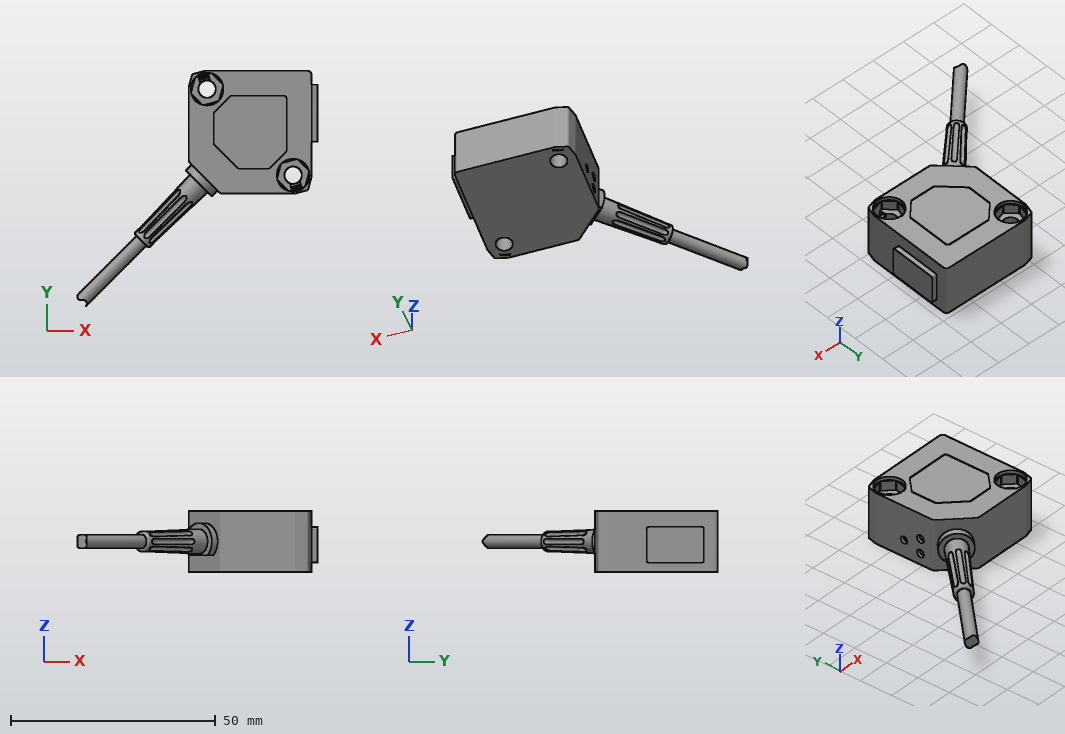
import cadquery as cq
import math

SIDE = 30.0
HEIGHT = 15.0
HALF = SIDE / 2
CABLE_CORNER_CUT = 7.8
CABLE_CORNER_ROUND = 1.0
SCREW_CORNER_RUN = 4.0
SCREW_CORNER_SLANT = 15.0
SCREW_CORNER_ROUND = 0.7
PLAIN_CORNER_ROUND = 1.0

RECESS_SIDE = 17.8
RECESS_DEPTH = 0.15
RECESS_CABLE_CUT = 6.0
RECESS_SCREW_CUT = 4.2
RECESS_ROUND = 0.7

SCREW_OFFSET = 10.5
SCREW_HOLE_DIA = 4.2
COUNTERBORE_DIA = 8.0
COUNTERBORE_DEPTH = 1.0
NUT_ACROSS_FLATS = 7.1
NUT_FLOOR_DEPTH = 3.8
NUT_ANGLE = 15.0

NOTCH_WIDTH = 2.5
NOTCH_ANGLE = 105.0
NOTCH_SLIT = 0.25
TONGUE_ROUND_END = 2.65
TONGUE_SLOPE_START = 2.85
TONGUE_CREST_DEPTH = 0.3
TONGUE_LOW_DEPTH = 1.0

INDICATORS = [(-3.1, 0.1, 2.2), (-3.1, -4.2, 2.2), (2.1, -2.5, 2.0)]
INDICATOR_DEPTH = 1.0

PAD_HEIGHT = 1.5
PAD_LENGTH = 14.0
PAD_WIDTH = 8.7
PAD_Y = 4.6
PAD_Z = -0.8
PAD_ROUND = 0.5

CABLE_ANGLE = 225.0
CABLE_DIA = 3.4
FLANGE_DIA = 9.0
FLANGE_THICKNESS = 2.0
FLANGE_FLAT_Z = -3.3
BOOT_LENGTH = 19.8
BOOT_START_DIA = 6.1
BOOT_END_DIA = 5.0
BOOT_END_ROUND = 0.4
GROOVE_COUNT = 8
GROOVE_RADIUS = 0.7
GROOVE_START = 5.9
GROOVE_END = 17.2
GROOVE_RUNOUT_RADIUS = 1.25
GROOVE_RUNOUT_ANGLE = 60.0
CABLE_END = 41.0
WAVE_HALF_STRAIGHT = 0.29

FLANGE_START = (SIDE - CABLE_CORNER_CUT) / math.sqrt(2)
BOOT_START = FLANGE_START + FLANGE_THICKNESS


def make_housing():
    slant = math.tan(math.radians(SCREW_CORNER_SLANT))
    inset = SCREW_CORNER_RUN * slant / (1 + slant)
    tip = HALF - inset
    run = HALF - SCREW_CORNER_RUN
    cut = HALF - CABLE_CORNER_CUT
    outline = [
        (-HALF, -cut), (-HALF, run), (-tip, tip), (-run, HALF), (HALF, HALF),
        (HALF, -run), (tip, -tip), (run, -HALF), (-cut, -HALF),
    ]
    block = cq.Workplane("XY").workplane(offset=-HEIGHT / 2).polyline(outline).close().extrude(HEIGHT)

    def round_edges(body, points, radius):
        for x, y in points:
            body = body.edges(cq.selectors.NearestToPointSelector((x, y, 0))).fillet(radius)
        return body

    block = round_edges(block, [(-HALF, -cut), (-cut, -HALF)], CABLE_CORNER_ROUND)
    block = round_edges(block, [(-tip, tip), (tip, -tip)], SCREW_CORNER_ROUND)
    return round_edges(block, [(HALF, HALF)], PLAIN_CORNER_ROUND)


def make_recess():
    half = RECESS_SIDE / 2
    screw = half - RECESS_SCREW_CUT
    cable = half - RECESS_CABLE_CUT
    outline = [
        (-half, -cable), (-half, screw), (-screw, half), (half, half),
        (half, -screw), (screw, -half), (-cable, -half),
    ]
    return (
        cq.Workplane("XY")
        .workplane(offset=HEIGHT / 2 - RECESS_DEPTH)
        .polyline(outline).close()
        .extrude(RECESS_DEPTH)
        .edges("|Z").fillet(RECESS_ROUND)
    )


def make_notch():
    """Notch beside a screw hole at the origin, reaching along +X to the nut flat."""
    floor = HEIGHT / 2 - NUT_FLOOR_DEPTH
    crest = floor - TONGUE_CREST_DEPTH
    low = floor - TONGUE_LOW_DEPTH
    flat = NUT_ACROSS_FLATS / 2
    slit = flat - NOTCH_SLIT
    hole_edge = SCREW_HOLE_DIA / 2
    reach = TONGUE_ROUND_END - hole_edge
    bulge = math.sqrt(0.5)
    return (
        cq.Workplane("XZ")
        .workplane(offset=-NOTCH_WIDTH / 2)
        .moveTo(0, floor)
        .lineTo(0, low)
        .lineTo(hole_edge, low)
        .threePointArc(
            (hole_edge + reach * (1 - bulge), low + (crest - low) * bulge),
            (TONGUE_ROUND_END, crest),
        )
        .lineTo(TONGUE_ROUND_END, low)
        .lineTo(TONGUE_SLOPE_START, low)
        .lineTo(TONGUE_SLOPE_START, crest)
        .lineTo(slit, low)
        .lineTo(slit, -HEIGHT / 2)
        .lineTo(flat, -HEIGHT / 2)
        .lineTo(flat, floor)
        .close()
        .extrude(NOTCH_WIDTH)
    )


def make_screw_cut():
    """Everything removed around one screw hole, with the hole on the Z axis."""
    top = cq.Workplane("XY").workplane(offset=HEIGHT / 2)
    hole = top.circle(SCREW_HOLE_DIA / 2).extrude(-HEIGHT)
    counterbore = top.circle(COUNTERBORE_DIA / 2).extrude(-COUNTERBORE_DEPTH)
    across_corners = NUT_ACROSS_FLATS / math.cos(math.pi / 6)
    hexagon = top.polygon(6, across_corners).extrude(-NUT_FLOOR_DEPTH)
    hexagon = hexagon.rotate((0, 0, 0), (0, 0, 1), NUT_ANGLE)
    nut = hexagon.intersect(top.circle(COUNTERBORE_DIA / 2).extrude(-NUT_FLOOR_DEPTH))
    notch = make_notch().rotate((0, 0, 0), (0, 0, 1), NOTCH_ANGLE)
    return hole.union(counterbore).union(nut).union(notch)


def make_indicators():
    cuts = cq.Workplane("YZ").workplane(offset=-HALF)
    holes = None
    for y, z, diameter in INDICATORS:
        hole = cuts.center(y, z).circle(diameter / 2).extrude(INDICATOR_DEPTH)
        holes = hole if holes is None else holes.union(hole)
    return holes


def make_pad():
    return (
        cq.Workplane("YZ")
        .workplane(offset=HALF)
        .center(PAD_Y, PAD_Z)
        .rect(PAD_LENGTH, PAD_WIDTH)
        .extrude(PAD_HEIGHT)
        .edges("|X").fillet(PAD_ROUND)
    )


def make_boot():
    """Tapered, grooved strain relief lying along +X."""
    end = BOOT_START + BOOT_LENGTH
    boot = (
        cq.Workplane("XY")
        .moveTo(BOOT_START, 0)
        .lineTo(BOOT_START, BOOT_START_DIA / 2)
        .lineTo(end, BOOT_END_DIA / 2)
        .lineTo(end, 0)
        .close()
        .revolve(360, (0, 0, 0), (1, 0, 0))
        .faces(">X").edges().fillet(BOOT_END_ROUND)
    )
    groove = make_groove()
    for i in range(GROOVE_COUNT):
        boot = boot.cut(groove.rotate((0, 0, 0), (1, 0, 0), i * 360 / GROOVE_COUNT))
    return boot


def make_groove():
    """Round cutter that follows the boot surface on its +Z side and bends outward at both ends."""
    length = GROOVE_END - GROOVE_START
    taper = (BOOT_START_DIA - BOOT_END_DIA) / 2 / BOOT_LENGTH

    def bend(x, direction, angle):
        turn = math.radians(angle)
        return (
            x + direction * GROOVE_RUNOUT_RADIUS * math.sin(turn),
            GROOVE_RUNOUT_RADIUS * (1 - math.cos(turn)),
        )

    def runout(x, direction):
        middle = bend(x, direction, GROOVE_RUNOUT_ANGLE / 2)
        tip = bend(x, direction, GROOVE_RUNOUT_ANGLE)
        path = cq.Workplane("XZ").moveTo(x, 0).threePointArc(middle, tip)
        return cq.Workplane("YZ").workplane(offset=x).circle(GROOVE_RADIUS).sweep(path)

    straight = cq.Workplane("YZ").circle(GROOVE_RADIUS).extrude(length)
    cutter = straight.union(runout(0, -1)).union(runout(length, 1))
    start_height = BOOT_START_DIA / 2 - taper * GROOVE_START
    return (
        cutter.rotate((0, 0, 0), (0, 1, 0), math.degrees(math.atan(taper)))
        .translate((BOOT_START + GROOVE_START, 0, start_height))
    )


def make_flange():
    start = cq.Workplane("YZ").workplane(offset=FLANGE_START)
    flange = start.circle(FLANGE_DIA / 2).extrude(FLANGE_THICKNESS)
    keep = cq.Workplane("XY").workplane(offset=FLANGE_FLAT_Z).circle(SIDE).extrude(HEIGHT)
    return flange.intersect(keep)


def make_cable_trim():
    """Region in front of the wavy cable end: two opposite arcs joined by a short straight."""
    radius = (CABLE_DIA / 2 - WAVE_HALF_STRAIGHT * math.sqrt(0.5)) / (1 + math.sqrt(0.5))
    beyond = CABLE_DIA * 2

    def crest(angle):
        turn = math.radians(angle)
        return (
            -WAVE_HALF_STRAIGHT + radius * math.cos(turn),
            radius + radius * math.sin(turn),
        )

    def trough(angle):
        x, y = crest(angle)
        return (-x, -y)

    crest_end = crest(135)
    trough_end = trough(135)
    return (
        cq.Workplane("XY")
        .workplane(offset=-CABLE_DIA)
        .moveTo(*crest_end)
        .threePointArc(crest(200), crest(270))
        .lineTo(*trough(270))
        .threePointArc(trough(200), trough_end)
        .lineTo(trough_end[0] - beyond, trough_end[1] - beyond)
        .lineTo(crest_end[0] - beyond, crest_end[1] - beyond)
        .close()
        .extrude(CABLE_DIA * 2)
        .translate((-CABLE_END, -CABLE_END, 0))
    )


def make_cable_outlet():
    reach = CABLE_END * math.sqrt(2) + CABLE_DIA
    start = cq.Workplane("YZ").workplane(offset=FLANGE_START)
    cable = start.circle(CABLE_DIA / 2).extrude(reach - FLANGE_START)
    outlet = make_flange().union(make_boot()).union(cable)
    return outlet.rotate((0, 0, 0), (0, 0, 1), CABLE_ANGLE).cut(make_cable_trim())


housing = make_housing().cut(make_recess()).cut(make_indicators())
screw_cut = make_screw_cut().translate((-SCREW_OFFSET, SCREW_OFFSET, 0))
for turn in (0, 180):
    housing = housing.cut(screw_cut.rotate((0, 0, 0), (0, 0, 1), turn))

result = housing.union(make_pad()).union(make_cable_outlet())